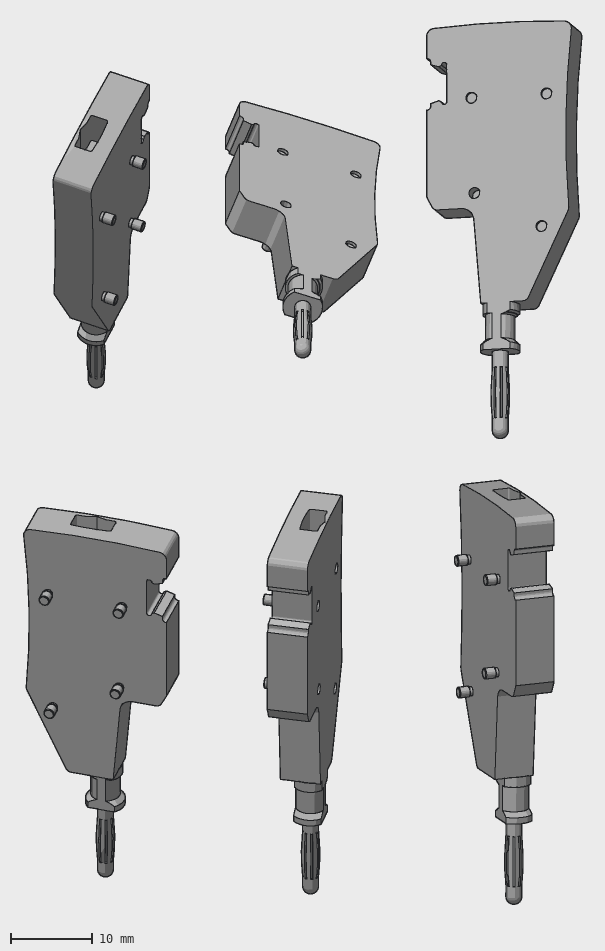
import cadquery as cq
import math


plate_thickness = 5.1
collar_thickness = 3.5
face_x = -collar_thickness / 2
back_x = face_x + plate_thickness

rear_y = 8.94
front_y = -9.64
plate_bottom_z = 5.9
shoulder_z = 40.85
crown_z = 41.2
top_corner_radius = 1.0

hollow_y = -8.82
hollow_z = 27.4
hollow_end_y = -9.22
hollow_end_z = 17.2
foot_front_y = -3.85
foot_rear_y = 2.04
foot_corner_radius = 0.8
hollow_corner_radius = 1.1

rear_chamfer_z = 19.7
underside_chamfer_y = 8.05
underside_z = 17.98
underside_corner_radius = 0.8
foot_top_y = 3.05
foot_top_radius = 1.6

notch_z = 33.9
notch_floor_y = 6.37
mouth_half = 3.25
mouth_corner_radius = 0.45
lip_outer_y = 8.42
lip_outer_half = 2.45
lip_tip_y = 7.35
lip_tip_half = 2.13
groove_width = 0.65
groove_half = 2.65
notch_open_y = rear_y + 1.0

pocket_y = -1.57
pocket_length = 5.24
pocket_left_x = face_x + 0.63
pocket_right_x = face_x + 2.88
pocket_point_x = face_x + 0.28
pocket_point_half = 1.3
pocket_right_bulge = 0.17
pocket_corner_radius = 0.25
pocket_depth = 5.0

shallow_depth = 0.4
peg_length = 1.77
peg_neck_length = 0.4
peg_neck_radius = 0.58
peg_head_radius = 0.68
peg_end_chamfer = 0.1
hole_radius = peg_head_radius
coupling_points = [
    (3.23, 31.9, shallow_depth),
    (-6.34, 31.9, shallow_depth),
    (2.84, 19.85, peg_length),
    (-5.71, 15.2, shallow_depth),
]

neck_radius = 1.84
flange_radius = 2.45
flange_rim_height = 0.8
flange_cone_top_z = 1.4
cap_front_radius = flange_radius
cap_rear_radius = 2.15
cap_rear_bottom_z = 4.6
cap_rim_bottom_z = 4.9
cap_cone_bottom_z = 4.4

pin_radius = 1.0
overall_height = 52.12
pin_tip_z = crown_z - overall_height
tip_radius = pin_radius
spring_top_z = -2.05
spring_bottom_z = -8.45
spring_radius = 1.16
slot_count = 8
slot_width = 0.25
slot_floor_radius = 0.7


def make_plate():
    """Plate outline in the YZ plane, extruded through the full thickness."""
    plate = (
        cq.Workplane("YZ", origin=(face_x, 0, 0))
        .moveTo(rear_y, shoulder_z)
        .threePointArc(((rear_y + front_y) / 2, crown_z), (front_y, shoulder_z))
        .threePointArc((hollow_y, hollow_z), (hollow_end_y, hollow_end_z))
        .lineTo(foot_front_y, plate_bottom_z)
        .lineTo(foot_rear_y, plate_bottom_z)
        .lineTo(foot_top_y, underside_z)
        .lineTo(underside_chamfer_y, underside_z)
        .lineTo(rear_y, rear_chamfer_z)
        .close()
        .extrude(plate_thickness)
    )
    corners = [
        (rear_y, shoulder_z, top_corner_radius),
        (front_y, shoulder_z, top_corner_radius),
        (hollow_end_y, hollow_end_z, hollow_corner_radius),
        (foot_front_y, plate_bottom_z, foot_corner_radius),
        (foot_top_y, underside_z, foot_top_radius),
        (underside_chamfer_y, underside_z, underside_corner_radius),
    ]
    middle_x = face_x + plate_thickness / 2
    for y, z, radius in corners:
        edge = cq.selectors.NearestToPointSelector((middle_x, y, z))
        plate = plate.edges("|X").edges(edge).fillet(radius)
    return plate


def make_notch_half(side):
    """Upper (side = 1) or lower (side = -1) half of the rail notch."""
    arc_inset = mouth_corner_radius * (1 - math.sqrt(0.5))
    corner_z = mouth_half - mouth_corner_radius
    half = (
        cq.Workplane("YZ", origin=(face_x, 0, notch_z))
        .moveTo(notch_floor_y, 0)
        .lineTo(notch_floor_y, side * (groove_half - groove_width / 2))
        .threePointArc(
            (notch_floor_y + groove_width / 2, side * groove_half),
            (notch_floor_y + groove_width, side * (groove_half - groove_width / 2)),
        )
        .lineTo(lip_tip_y, side * lip_tip_half)
        .lineTo(lip_outer_y, side * lip_outer_half)
        .lineTo(lip_outer_y, side * corner_z)
        .threePointArc(
            (lip_outer_y + arc_inset, side * (mouth_half - arc_inset)),
            (lip_outer_y + mouth_corner_radius, side * mouth_half),
        )
        .lineTo(notch_open_y, side * mouth_half)
        .lineTo(notch_open_y, 0)
        .close()
    )
    return half.extrude(plate_thickness)


def make_pocket():
    """Socket pocket: pointed toward the face, gently bowed toward the back."""
    half_length = pocket_length / 2
    return (
        cq.Workplane("XY", origin=(0, pocket_y, crown_z - pocket_depth))
        .moveTo(pocket_left_x, half_length)
        .lineTo(pocket_right_x, half_length)
        .threePointArc((pocket_right_x + pocket_right_bulge, 0), (pocket_right_x, -half_length))
        .lineTo(pocket_left_x, -half_length)
        .lineTo(pocket_left_x, -pocket_point_half)
        .lineTo(pocket_point_x, 0)
        .lineTo(pocket_left_x, pocket_point_half)
        .close()
        .extrude(pocket_depth)
        .edges("|Z")
        .edges(">Y or <Y")
        .fillet(pocket_corner_radius)
    )


def make_peg(y, z):
    """Coupling peg with a slim neck and a wider chamfered head."""
    neck = cq.Workplane("YZ", origin=(back_x, y, z)).circle(peg_neck_radius).extrude(peg_length)
    head = (
        cq.Workplane("YZ", origin=(back_x + peg_neck_length, y, z))
        .circle(peg_head_radius)
        .extrude(peg_length - peg_neck_length)
        .faces(">X")
        .chamfer(peg_end_chamfer)
    )
    return neck.union(head)


def make_collar():
    """Turned neck and flange under a two-radius cap, flattened to the collar thickness."""
    neck = (
        cq.Workplane("XZ")
        .polyline(
            [
                (0, 0),
                (flange_radius, 0),
                (flange_radius, flange_rim_height),
                (neck_radius, flange_cone_top_z),
                (neck_radius, plate_bottom_z),
                (0, plate_bottom_z),
            ]
        )
        .close()
        .revolve(360, (0, 0, 0), (0, 1, 0))
    )
    cap_front = (
        cq.Workplane("XZ")
        .polyline(
            [
                (0, cap_cone_bottom_z),
                (neck_radius, cap_cone_bottom_z),
                (cap_front_radius, cap_rim_bottom_z),
                (cap_front_radius, plate_bottom_z),
                (0, plate_bottom_z),
            ]
        )
        .close()
        .revolve(360, (0, 0, 0), (0, 1, 0))
    )
    span = 2 * flange_radius
    front_half = cq.Workplane("XY").box(span, span, plate_bottom_z, centered=(True, False, False))
    front_half = front_half.translate((0, -span, 0))
    cap_rear = (
        cq.Workplane("XY", origin=(0, 0, cap_rear_bottom_z))
        .circle(cap_rear_radius)
        .extrude(plate_bottom_z - cap_rear_bottom_z)
    )
    flats = cq.Workplane("XY").box(collar_thickness, span, plate_bottom_z, centered=(True, True, False))
    return neck.union(cap_front.intersect(front_half)).union(cap_rear).intersect(flats)


def make_housing():
    """Plate with its collar and pegs, cut by the rail notch, pocket and coupling holes."""
    body = make_plate().union(make_collar())
    for side in (1, -1):
        body = body.cut(make_notch_half(side))
    body = body.cut(make_pocket())
    for y, z, hole_depth in coupling_points:
        hole = cq.Workplane("YZ", origin=(face_x, y, z)).circle(hole_radius).extrude(hole_depth)
        body = body.cut(hole).union(make_peg(y, z))
    return body


def make_pin():
    """Round-nosed contact pin with a slotted, bulging spring section."""
    spring_middle_z = (spring_top_z + spring_bottom_z) / 2
    tip_centre_z = pin_tip_z + tip_radius
    tip_mid = tip_radius * math.sqrt(0.5)
    shaft = (
        cq.Workplane("XZ")
        .moveTo(0, 0)
        .lineTo(pin_radius, 0)
        .lineTo(pin_radius, spring_top_z)
        .threePointArc((spring_radius, spring_middle_z), (pin_radius, spring_bottom_z))
        .lineTo(pin_radius, tip_centre_z)
        .threePointArc((tip_mid, tip_centre_z - tip_mid), (0, pin_tip_z))
        .close()
        .revolve(360, (0, 0, 0), (0, 1, 0))
    )
    spring_length = spring_top_z - spring_bottom_z
    slot = (
        cq.Workplane("XY", origin=(slot_floor_radius, 0, spring_bottom_z))
        .box(spring_radius, slot_width, spring_length, centered=(False, True, False))
    )
    for index in range(slot_count):
        angle = (index + 0.5) * 360 / slot_count
        shaft = shaft.cut(slot.rotate((0, 0, 0), (0, 0, 1), angle))
    return shaft


housing = make_housing()
pin = make_pin()
result = cq.Compound.makeCompound([housing.val(), pin.val()])